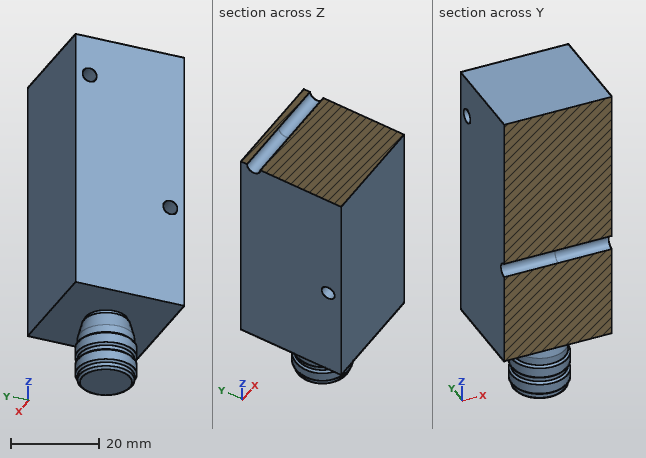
import cadquery as cq

total_height = 81.0
body_width = 27.0
connector_length = 16.0
body_height = total_height - connector_length

hole_diameter = 3.5
hole_edge_distance = 3.5
hole_spacing = 30.05
upper_hole_depth = 10.0

neck_diameter = 10.0
shoulder_top_diameter = 11.0
sleeve_diameter = 13.0
ring_diameter = 14.0

neck_length = 1.0
shoulder_end = 4.6
ring_starts = (6.6, 11.0)
ring_width = 3.5
tip_chamfer = 0.6


def make_body():
    return (
        cq.Workplane("XY")
        .workplane(offset=connector_length)
        .rect(body_width, body_width)
        .extrude(body_height)
    )


def make_mounting_holes():
    hole_y = body_width / 2 - hole_edge_distance
    upper_z = total_height - upper_hole_depth
    lower_z = upper_z - hole_spacing
    return (
        cq.Workplane("YZ")
        .pushPoints([(hole_y, upper_z), (-hole_y, lower_z)])
        .circle(hole_diameter / 2)
        .extrude(body_width / 2, both=True)
    )


def make_connector_core():
    """Neck, tapered shoulder and sleeve, revolved about Z."""
    neck_bottom = connector_length - neck_length
    shoulder_bottom = connector_length - shoulder_end
    sleeve_radius = sleeve_diameter / 2
    return (
        cq.Workplane("XZ")
        .moveTo(0, connector_length)
        .lineTo(neck_diameter / 2, connector_length)
        .lineTo(neck_diameter / 2, neck_bottom)
        .lineTo(shoulder_top_diameter / 2, neck_bottom)
        .lineTo(sleeve_radius, shoulder_bottom)
        .lineTo(sleeve_radius, tip_chamfer)
        .lineTo(sleeve_radius - tip_chamfer, 0)
        .lineTo(0, 0)
        .close()
        .revolve(360, (0, 0, 0), (0, 1, 0))
    )


def make_ring(start):
    """Grip ring whose 45 degree flanks run down to the sleeve surface."""
    flank = (ring_diameter - sleeve_diameter) / 2
    return (
        cq.Workplane("XY")
        .workplane(offset=connector_length - start - ring_width)
        .circle(ring_diameter / 2)
        .extrude(ring_width)
        .edges()
        .chamfer(flank)
    )


result = make_body().cut(make_mounting_holes()).union(make_connector_core())
for ring_start in ring_starts:
    result = result.union(make_ring(ring_start))